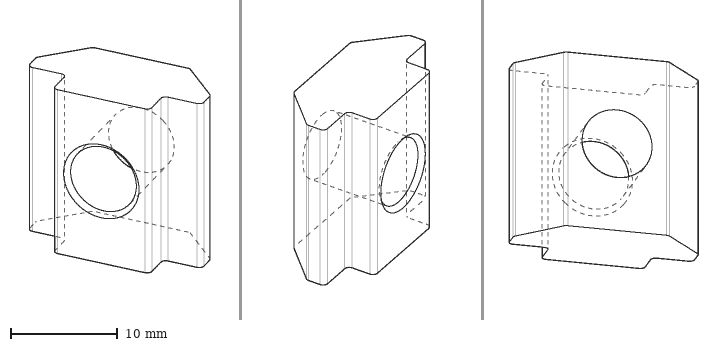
import cadquery as cq

flange_width = 18.0
stem_width = 10.0
total_depth = 9.0
stem_depth = 3.0
wing_edge = 2.0
length = 17.5
bevel = 4.0
corner_radius = 0.5

hole_diameter = 6.8
hole_chamfer = 0.5

half_flange = flange_width / 2
half_stem = stem_width / 2
front_y = -total_depth / 2
back_y = total_depth / 2
shoulder_y = front_y + stem_depth
bevel_start_y = shoulder_y + wing_edge
half_back = half_flange - bevel


def make_body():
    """Extrude the T profile and round all edges running along Z."""
    right_side = [
        (half_stem, front_y),
        (half_stem, shoulder_y),
        (half_flange, shoulder_y),
        (half_flange, bevel_start_y),
        (half_back, back_y),
    ]
    left_side = [(-x, y) for x, y in reversed(right_side)]
    profile = cq.Workplane("XY").polyline(right_side + left_side).close()
    body = profile.extrude(length / 2, both=True)
    return body.edges("|Z").fillet(corner_radius)


def make_hole():
    """Through hole along +Y with a 45 degree countersink at the front face."""
    hole_radius = hole_diameter / 2
    mouth_radius = hole_radius + hole_chamfer
    half_section = [
        (0, front_y),
        (mouth_radius, front_y),
        (hole_radius, front_y + hole_chamfer),
        (hole_radius, back_y),
        (0, back_y),
    ]
    section = cq.Workplane("XY").polyline(half_section).close()
    return section.revolve(360, (0, 0, 0), (0, 1, 0))


result = make_body().cut(make_hole())